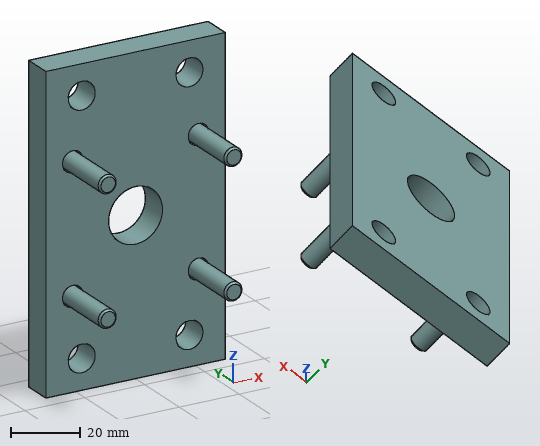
import cadquery as cq

plate_width = 60.0
plate_height = 102.0
plate_thickness = 10.0

center_hole_diameter = 18.0
corner_hole_diameter = 9.0
corner_hole_spacing_x = 36.0
corner_hole_spacing_z = 82.0

overall_depth = 30.5
pin_diameter = 6.0
pin_hole_diameter = 6.8
pin_hole_depth = 4.5
pin_spacing = 42.0
pin_chamfer = 0.6
pin_length = overall_depth - plate_thickness + pin_hole_depth


def rectangle_corners(width, height):
    """The four (x, z) corners of a rectangle centred on the origin."""
    return [(sx * width / 2, sz * height / 2) for sx in (-1, 1) for sz in (-1, 1)]


def make_cylinder(diameter, length, back_y, center):
    """Round bar along Y that starts at back_y and runs toward -Y."""
    x, z = center
    return cq.Workplane("XZ", origin=(x, back_y, z)).circle(diameter / 2).extrude(length)


def make_plate(pin_centers):
    """Plate with a central hole, four corner holes and a blind hole for each pin."""
    plate = cq.Workplane("XY").box(plate_width, plate_thickness, plate_height)
    plate = plate.translate((0, plate_thickness / 2, 0))
    plate = plate.cut(make_cylinder(center_hole_diameter, plate_thickness, plate_thickness, (0, 0)))
    for center in rectangle_corners(corner_hole_spacing_x, corner_hole_spacing_z):
        plate = plate.cut(make_cylinder(corner_hole_diameter, plate_thickness, plate_thickness, center))
    for center in pin_centers:
        plate = plate.cut(make_cylinder(pin_hole_diameter, pin_hole_depth, pin_hole_depth, center))
    return plate


def make_pin(center):
    """Round pin from the floor of its hole toward -Y, chamfered at its free end."""
    pin = make_cylinder(pin_diameter, pin_length, pin_hole_depth, center)
    return pin.faces("<Y").chamfer(pin_chamfer)


pin_centers = rectangle_corners(pin_spacing, pin_spacing)
plate = make_plate(pin_centers)
pins = [make_pin(center).val() for center in pin_centers]

result = cq.Compound.makeCompound([plate.val(), *pins])